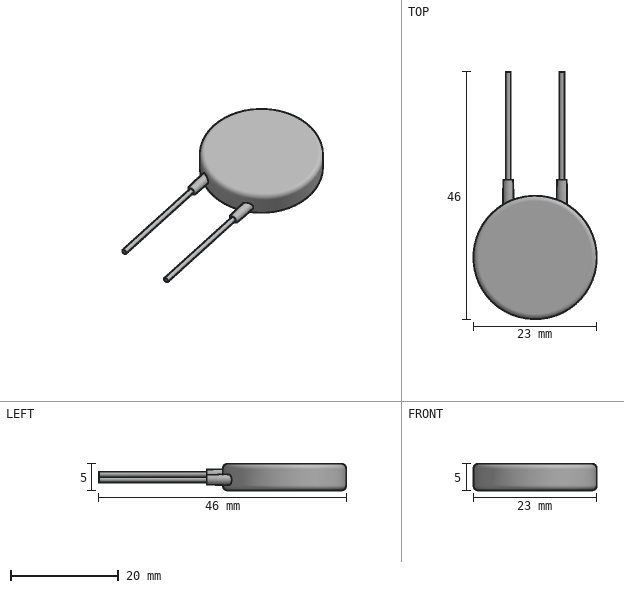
import cadquery as cq

body_diameter = 23.0
body_height = 5.0
edge_radius = 0.95

lead_spacing = 10.0
wire_diameter = 1.0
wire_length = 20.0
sleeve_tip_diameter = 1.85
sleeve_tip_rounding = 0.15
sleeve_taper_length = 2.2
sleeve_base_diameter = 2.0

overall_length = 46.0
wire_end_y = overall_length - body_diameter / 2
sleeve_end_y = wire_end_y - wire_length
taper_start_y = sleeve_end_y - sleeve_taper_length
lead_root_y = body_diameter / 4
lead_height_offset = wire_diameter / 2


def make_body():
    """Disc with both rims rounded."""
    floor = cq.Workplane("XY", origin=(0, 0, -body_height / 2))
    disc = floor.circle(body_diameter / 2).extrude(body_height)
    return disc.edges("%CIRCLE").fillet(edge_radius)


def make_lead(x, z):
    """Wire in a sleeve that tapers towards a rounded tip, revolved about its own axis."""
    base_radius = sleeve_base_diameter / 2
    tip_radius = sleeve_tip_diameter / 2
    sleeve = (
        cq.Workplane("XY", origin=(x, 0, z))
        .moveTo(0, lead_root_y)
        .lineTo(base_radius, lead_root_y)
        .lineTo(base_radius, taper_start_y)
        .lineTo(tip_radius, sleeve_end_y)
        .lineTo(0, sleeve_end_y)
        .close()
        .revolve(360, (0, 0, 0), (0, 1, 0))
        .faces(">Y")
        .edges()
        .fillet(sleeve_tip_rounding)
    )
    wire = (
        cq.Workplane("XZ", origin=(x, wire_end_y, z))
        .circle(wire_diameter / 2)
        .extrude(wire_end_y - lead_root_y)
    )
    return sleeve.union(wire)


result = make_body()
for side in (-1, 1):
    result = result.union(make_lead(side * lead_spacing / 2, side * lead_height_offset))